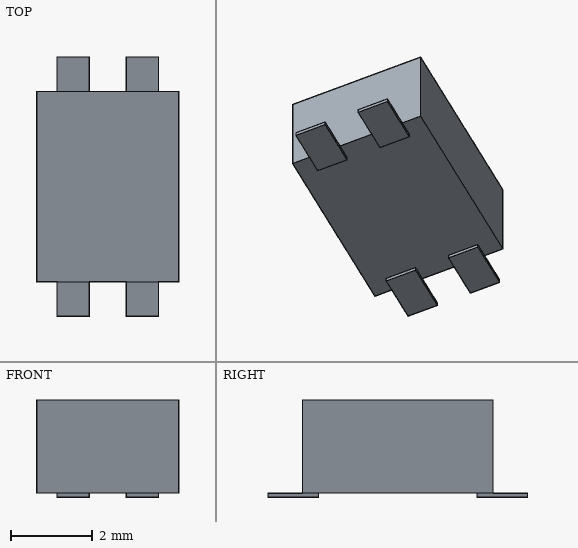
import cadquery as cq

overall_length = 6.4
overall_height = 2.4

lead_width = 0.8
lead_length = 1.25
lead_thickness = 0.1
lead_pitch = 1.7

body_width = 3.5
body_length = 4.7
body_height = overall_height - lead_thickness


def make_body():
    """Block whose underside lies on the top faces of the leads."""
    return (
        cq.Workplane("XY")
        .workplane(offset=lead_thickness)
        .rect(body_width, body_length)
        .extrude(body_height)
    )


def make_lead(x_center, y_center):
    """Flat rectangular strip with its underside at Z = 0."""
    return (
        cq.Workplane("XY")
        .center(x_center, y_center)
        .rect(lead_width, lead_length)
        .extrude(lead_thickness)
    )


body = make_body()

lead_x = lead_pitch / 2
lead_y = (overall_length - lead_length) / 2
leads = []
for x_side in (-1, 1):
    for y_side in (-1, 1):
        leads.append(make_lead(x_side * lead_x, y_side * lead_y))

result = cq.Compound.makeCompound([body.val(), *[lead.val() for lead in leads]])